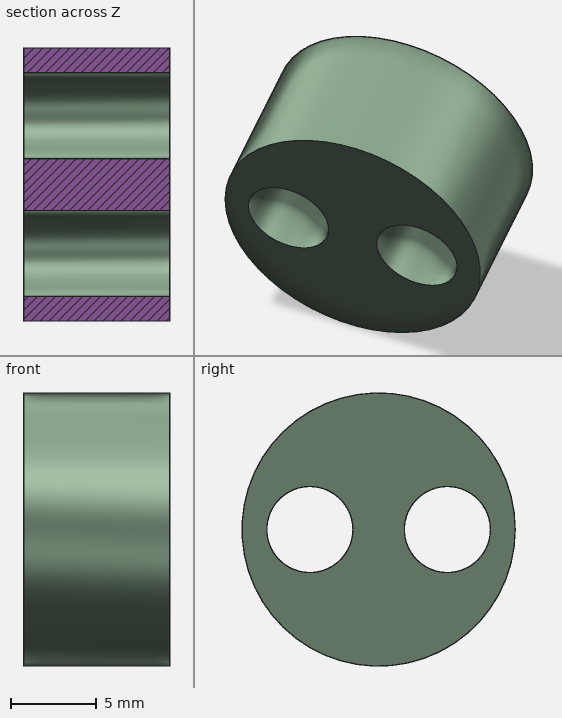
import cadquery as cq

body_diameter = 15.9
body_length = 8.5
hole_diameter = 5.0
hole_spacing = 8.0

body = cq.Workplane("YZ").circle(body_diameter / 2).extrude(body_length)

hole_centres = [(-hole_spacing / 2, 0), (hole_spacing / 2, 0)]
holes = (
    cq.Workplane("YZ")
    .pushPoints(hole_centres)
    .circle(hole_diameter / 2)
    .extrude(body_length)
)

result = body.cut(holes)